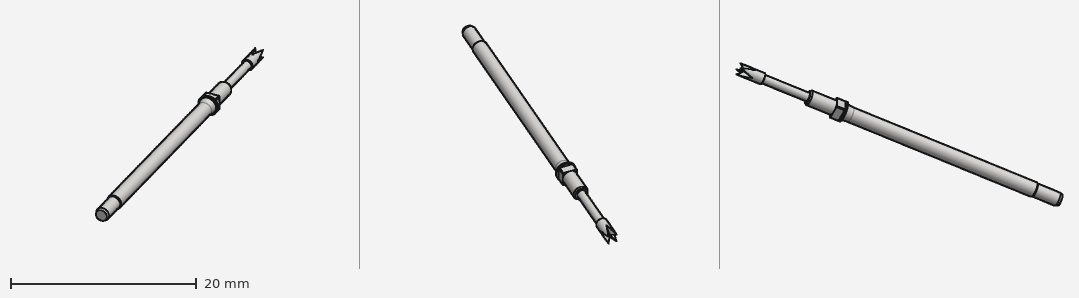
import cadquery as cq
import math

total_length = 38.8
tip_y = total_length / 2
tail_y = -total_length / 2

head_radius = 0.65
head_length = 2.95
shaft_radius = 0.5
shaft_length = 5.45

crown_centre_depth = 0.75
crown_edge_depth = 1.7

barrel_radius = 0.85
barrel_mouth_radius = 0.75
barrel_mouth_length = 0.2
barrel_length = 27.4
barrel_end_chamfer_length = 0.1

collar_radius = 2.3 / 2
collar_front_depth = 12.45
collar_length = 0.25
flare_radius = 1.0
flare_length = 0.8
square_width = 1.7
square_length = 0.97

tail_radius = 0.78
tail_end_radius = 0.65
tail_chamfer_length = 0.3


def revolve_about_y(outline):
    return outline.close().revolve(360, (0, 0, 0), (0, 1, 0))


def make_plunger():
    head_base_y = tip_y - head_length
    outline = (
        cq.Workplane("XY")
        .moveTo(0, tip_y)
        .lineTo(head_radius, tip_y)
        .lineTo(head_radius, head_base_y)
        .lineTo(shaft_radius, head_base_y)
        .lineTo(shaft_radius, head_base_y - shaft_length)
        .lineTo(0, head_base_y - shaft_length)
    )
    return revolve_about_y(outline)


def make_barrel_and_tail():
    mouth_y = tip_y - head_length - shaft_length
    barrel_base_y = mouth_y - barrel_length
    collar_front_y = tip_y - collar_front_depth
    collar_back_y = collar_front_y - collar_length
    flare_end_y = collar_back_y - flare_length
    flare_height = flare_radius - barrel_radius
    flare_arc_radius = (flare_length**2 + flare_height**2) / (2 * flare_height)
    outline = (
        cq.Workplane("XY")
        .moveTo(0, mouth_y)
        .lineTo(barrel_mouth_radius, mouth_y)
        .lineTo(barrel_radius, mouth_y - barrel_mouth_length)
        .lineTo(barrel_radius, collar_front_y)
        .lineTo(collar_radius, collar_front_y)
        .lineTo(collar_radius, collar_back_y)
        .lineTo(flare_radius, collar_back_y)
        .radiusArc((barrel_radius, flare_end_y), -flare_arc_radius)
        .lineTo(barrel_radius, barrel_base_y + barrel_end_chamfer_length)
        .lineTo(tail_radius, barrel_base_y)
        .lineTo(tail_radius, tail_y + tail_chamfer_length)
        .lineTo(tail_end_radius, tail_y)
        .lineTo(0, tail_y)
    )
    return revolve_about_y(outline)


def make_square_block():
    """Square block whose corners are rounded to the collar's radius."""
    centre_y = tip_y - collar_front_depth + square_length / 2
    square = cq.Workplane("XY").box(square_width, square_length, square_width)
    round_bar = cq.Workplane("XZ").circle(collar_radius).extrude(square_length / 2, both=True)
    return square.intersect(round_bar).translate((0, centre_y, 0))


def make_crown_groove():
    """V groove over the +X side; its floor falls from the axis to the head's edge."""
    floor_slope = (crown_edge_depth - crown_centre_depth) / head_radius
    tip_offset = head_radius / math.sqrt(2)
    side_slope = (crown_centre_depth + floor_slope * tip_offset) / tip_offset
    reach = 2 * head_radius

    def section(x):
        depth = crown_centre_depth + floor_slope * x
        half_width = depth / side_slope
        return cq.Wire.makePolygon([
            cq.Vector(x, tip_y - depth, 0),
            cq.Vector(x, tip_y, half_width),
            cq.Vector(x, tip_y, -half_width),
        ], close=True)

    return cq.Workplane(cq.Solid.makeLoft([section(0), section(reach)], True))


plunger = make_plunger()
groove = make_crown_groove()
for quarter in range(4):
    plunger = plunger.cut(groove.rotate((0, 0, 0), (0, 1, 0), 90 * quarter))

result = plunger.union(make_barrel_and_tail()).union(make_square_block())